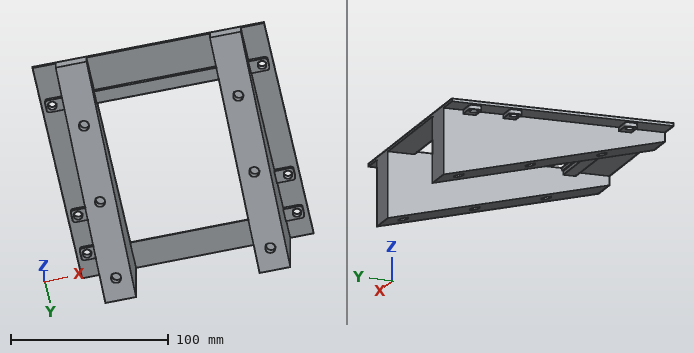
import cadquery as cq
import math

plate_side = 150.0
plate_thickness = 2.0
half_side = plate_side / 2

window_width = 80.0
window_length = 100.0
window_center_y = 7.5

leg_width = 20.0
leg_center_x = (window_width + leg_width) / 2
leg_front_height = 8.0
leg_back_height = 46.0
slope_angle = math.atan2(leg_back_height - leg_front_height, plate_side)

screw_hole_diameter = 6.5
screw_hole_depth = 10.0
screw_hole_pitch = 48.5
screw_hole_middle_y = 12.5

mount_hole_diameter = 5.5
mount_hole_x = 68.0
front_mount_y = -47.8
rear_mount_ys = (30.5, 57.6)
bar_width = 8.4
bar_thickness = 2.5
bar_corner_radius = 2.0
bar_end_x = mount_hole_x + bar_width / 2


def make_leg(center_x):
    """Wedge that deepens toward +Y and reaches up to the plate's upper face."""
    profile = [
        (-half_side, 0),
        (half_side, 0),
        (half_side, -leg_back_height),
        (-half_side, -leg_front_height),
    ]
    return (
        cq.Workplane("YZ", origin=(center_x, 0, 0))
        .polyline(profile)
        .close()
        .extrude(leg_width / 2, both=True)
    )


def make_screw_hole(center_x, y):
    """Blind cylinder bored into the sloping face at the given Y."""
    face_z = -leg_front_height - (y + half_side) * math.tan(slope_angle)
    inward = cq.Vector(0, math.sin(slope_angle), math.cos(slope_angle))
    entry = cq.Vector(center_x, y, face_z)
    return cq.Solid.makeCylinder(screw_hole_diameter / 2, screw_hole_depth, entry, inward)


def make_bar(start_x, end_x, y):
    """Flat bar below the plate, along X, before its ends are rounded."""
    return cq.Workplane("XY").box(
        end_x - start_x, bar_width, bar_thickness, centered=(False, True, False)
    ).translate((start_x, y, -plate_thickness - bar_thickness))


plate = cq.Workplane("XY").box(
    plate_side, plate_side, plate_thickness, centered=(True, True, False)
).translate((0, 0, -plate_thickness))

window_lean = plate_thickness * math.tan(slope_angle)
window_front_y = window_center_y - window_length / 2
window_back_y = window_center_y + window_length / 2
window = (
    cq.Workplane("YZ")
    .polyline([
        (window_front_y, 0),
        (window_back_y, 0),
        (window_back_y - window_lean, -plate_thickness),
        (window_front_y - window_lean, -plate_thickness),
    ])
    .close()
    .extrude(window_width / 2, both=True)
)
result = plate.cut(window)

for side in (-1, 1):
    leg_x = side * leg_center_x
    result = result.union(make_leg(leg_x))
    for step in (-1, 0, 1):
        hole_y = screw_hole_middle_y + step * screw_hole_pitch
        result = result.cut(cq.Workplane(make_screw_hole(leg_x, hole_y)))

front_bar = make_bar(-bar_end_x, bar_end_x, front_mount_y)
result = result.union(front_bar.edges("|Z").fillet(bar_corner_radius))
for y in rear_mount_ys:
    left_stub = make_bar(-bar_end_x, -leg_center_x, y).edges("|Z and <X").fillet(bar_corner_radius)
    result = result.union(left_stub).union(left_stub.mirror("YZ"))

mount_points = [
    (side * mount_hole_x, y) for side in (-1, 1) for y in (front_mount_y, *rear_mount_ys)
]
mount_depth = plate_thickness + bar_thickness
mount_holes = cq.Workplane("XY").pushPoints(mount_points).circle(mount_hole_diameter / 2)
result = result.cut(mount_holes.extrude(-mount_depth))